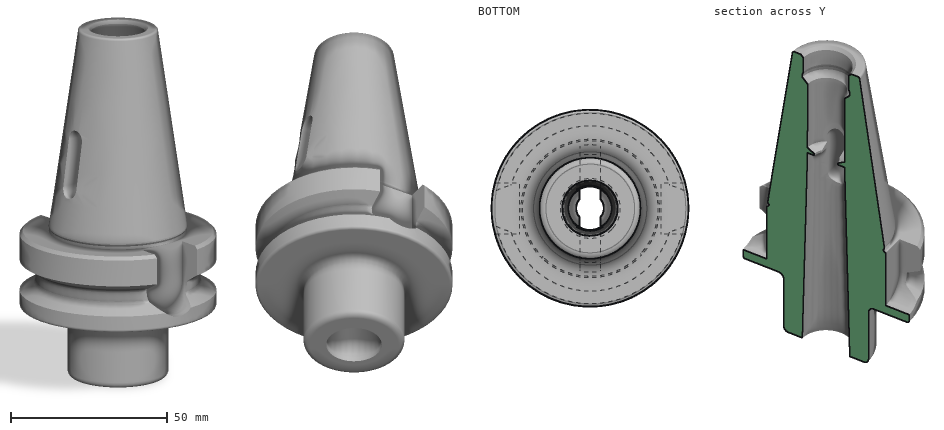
import cadquery as cq
import math

total_height = 115.4
gauge_z = 50.1
flange_bottom_z = 23.1
flange_top_z = 48.1

taper_small_radius = 12.7
taper_large_radius = 22.2
taper_edge_radius = 0.8

relief_land = 0.5
relief_depth = 0.5
relief_mid_z = 48.9

flange_radius = 31.5
groove_radius = 26.4
groove_mid_z = 33.5
groove_floor_width = 4.2
groove_wall_angle = 30
groove_rise = (flange_radius - groove_radius) * math.tan(math.radians(groove_wall_angle))
groove_corner_radius = 0.9
flange_chamfer = 1.0
flange_bottom_edge_radius = 0.9

pilot_radius = 16.2
pilot_fillet = 2.0

drive_width = 16.4
drive_floor_x = 22.6
drive_bottom_z = 26.7

slot_width = 6.7
slot_bottom_z = 62.2
slot_top_z = 84.2

mouth_radius = 9.6
bore_radius = 8.5
mouth_chamfer = mouth_radius - bore_radius
bore_bottom_z = 108.5
undercut_radius = 8.9
undercut_top_z = 107.3
undercut_bottom_z = 106.3
seat_radius = 6.9
seat_z = undercut_bottom_z - (undercut_radius - seat_radius)
throat_radius = 4.4
throat_top_z = 78.5
throat_cone_half_angle = 59
throat_cone_height = (seat_radius - throat_radius) / math.tan(math.radians(throat_cone_half_angle))
throat_bottom_z = throat_top_z - throat_cone_height
socket_mouth_radius = 8.9
socket_end_z = 76.2


def make_body():
    """Revolve the outer outline of taper, flange and pilot."""
    relief_radius = taper_large_radius - relief_depth
    groove_low_z = groove_mid_z - groove_floor_width / 2
    groove_high_z = groove_mid_z + groove_floor_width / 2
    outline = [
        (0, 0),
        (pilot_radius, 0),
        (pilot_radius, flange_bottom_z),
        (flange_radius, flange_bottom_z),
        (flange_radius, groove_low_z - groove_rise),
        (groove_radius, groove_low_z),
        (groove_radius, groove_high_z),
        (flange_radius, groove_high_z + groove_rise),
        (flange_radius, flange_top_z - flange_chamfer),
        (flange_radius - flange_chamfer, flange_top_z),
        (taper_large_radius, flange_top_z),
        (relief_radius, relief_mid_z),
        (taper_large_radius, gauge_z - relief_land),
        (taper_large_radius, gauge_z),
        (taper_small_radius, total_height),
        (0, total_height),
    ]
    body = cq.Workplane("XZ").polyline(outline).close().revolve(360, (0, 0), (0, 1))

    def edge_at(radius, z):
        """Select the circular edge of the given radius and height."""
        near = 0.06
        reach = radius + near
        inside = radius - near
        return cq.selectors.BoxSelector(
            (-reach, -reach, z - near), (reach, reach, z + near), boundingbox=True
        ) - cq.selectors.BoxSelector(
            (-inside, -inside, z - near), (inside, inside, z + near), boundingbox=True
        )

    rounds = [
        (pilot_radius, 0, pilot_fillet),
        (pilot_radius, flange_bottom_z, pilot_fillet),
        (flange_radius, flange_bottom_z, flange_bottom_edge_radius),
        (groove_radius, groove_low_z, groove_corner_radius),
        (groove_radius, groove_high_z, groove_corner_radius),
        (taper_small_radius, total_height, taper_edge_radius),
    ]
    for radius, z, fillet in rounds:
        body = body.edges(edge_at(radius, z)).fillet(fillet)
    return body


def make_bore():
    """Stepped axial bore, narrowest at the throat, opening into a tapered tool socket below."""
    outline = [
        (0, 0),
        (socket_mouth_radius, 0),
        (seat_radius, socket_end_z),
        (throat_radius, socket_end_z),
        (throat_radius, throat_bottom_z),
        (seat_radius, throat_top_z),
        (seat_radius, seat_z),
        (undercut_radius, undercut_bottom_z),
        (undercut_radius, undercut_top_z),
        (bore_radius, bore_bottom_z),
        (bore_radius, total_height - mouth_chamfer),
        (mouth_radius, total_height),
        (0, total_height),
    ]
    return cq.Workplane("XZ").polyline(outline).close().revolve(360, (0, 0), (0, 1))


def make_cross_slot():
    """Round-ended slot running through the taper along Y."""
    mid_z = (slot_bottom_z + slot_top_z) / 2
    return (
        cq.Workplane("XZ")
        .center(0, mid_z)
        .slot2D(slot_top_z - slot_bottom_z, slot_width, 90)
        .extrude(taper_large_radius, both=True)
    )


def make_drive_slot(side):
    """Drive slot with a round bottom, cut into the flange on the given X side."""
    half_width = drive_width / 2
    arc_z = drive_bottom_z + half_width
    return (
        cq.Workplane("YZ", origin=(side * drive_floor_x, 0, 0))
        .moveTo(-half_width, gauge_z)
        .lineTo(-half_width, arc_z)
        .threePointArc((0, drive_bottom_z), (half_width, arc_z))
        .lineTo(half_width, gauge_z)
        .close()
        .extrude(side * flange_radius)
    )


result = make_body().cut(make_bore()).cut(make_cross_slot())
for x_side in (-1, 1):
    result = result.cut(make_drive_slot(x_side))